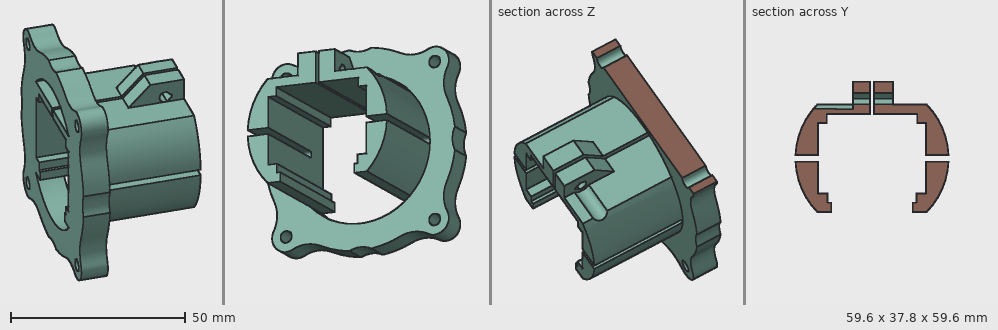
import cadquery as cq
import math

plate_half_width = 29.8
plate_thickness = 8.0
lug_offset = 23.4
lug_radius = 4.45
lug_hole_diameter = 3.5
valley_radius = 10.0
notch_radius = 8.0
notch_half_width = 3.45
disc_radius = math.hypot(plate_half_width, notch_half_width)

tube_radius = 22.0
tube_length = 29.75
tube_half_height = 15.45
total_length = plate_thickness + tube_length

cavity_half_width = 15.45
cavity_wide_half_height = 10.1
cavity_step_height = 12.7
cavity_top_half_width = 12.95
cavity_shelf_half_width = 12.7
cavity_bottom_half_width = 11.7

top_slit_width = 1.0
side_slot_width = 1.85

ear_left = -5.5
ear_right = 6.1
ear_top = tube_radius
ear_top_length = 10.2
clamp_hole_height = 17.1
clamp_hole_from_end = 5.85
clamp_hole_diameter = 3.2
head_groove_radius = 2.9

clamp_hole_y = total_length - clamp_hole_from_end


def front_plane():
    """Work plane at y = 0 facing -Y, so extruding by a negative length runs toward +Y."""
    return cq.Workplane("XZ")


def polar(radius, angle, centre=(0.0, 0.0)):
    return (centre[0] + radius * math.cos(angle), centre[1] + radius * math.sin(angle))


def rotate(point, angle):
    x, z = point
    return (x * math.cos(angle) - z * math.sin(angle), x * math.sin(angle) + z * math.cos(angle))


def quarter_arcs():
    """(middle, end) points of the arcs from the top notch to the notch on the left."""
    lug_distance = lug_offset * math.sqrt(2)
    to_disc = disc_radius + valley_radius
    to_lug = lug_radius + valley_radius
    diagonal = math.radians(135)
    spread = math.acos((to_disc**2 + lug_distance**2 - to_lug**2) / (2 * to_disc * lug_distance))
    lug = (-lug_offset, lug_offset)

    valley_angle = diagonal - spread
    valley = polar(to_disc, valley_angle)
    lug_to_valley = math.atan2(valley[1] - lug[1], valley[0] - lug[0])
    notch_angle = math.pi / 2 + math.atan2(notch_half_width, plate_half_width)
    valley_start = polar(disc_radius, valley_angle)
    valley_end = polar(lug_radius, lug_to_valley, lug)
    valley_middle_angle = (valley_angle - math.pi + lug_to_valley - math.pi) / 2
    valley_middle = polar(valley_radius, valley_middle_angle, valley)
    shoulder_middle = polar(disc_radius, (notch_angle + valley_angle) / 2)

    def mirrored(point):
        return (-point[1], -point[0])

    notch_depth = notch_radius - math.sqrt(notch_radius**2 - notch_half_width**2)
    notch_start = (-plate_half_width, notch_half_width)
    notch_middle = (-plate_half_width + notch_depth, 0)
    return [
        (shoulder_middle, valley_start),
        (valley_middle, valley_end),
        (polar(lug_radius, diagonal, lug), mirrored(valley_end)),
        (mirrored(valley_middle), mirrored(valley_start)),
        (mirrored(shoulder_middle), notch_start),
        (notch_middle, (-plate_half_width, -notch_half_width)),
    ]


def flange():
    arcs = quarter_arcs()
    outline = front_plane().moveTo(-notch_half_width, plate_half_width)
    for quarter in range(4):
        turn = quarter * math.pi / 2
        for middle, end in arcs:
            outline = outline.threePointArc(rotate(middle, turn), rotate(end, turn))
    plate = outline.close().extrude(-plate_thickness)
    holes = (
        front_plane()
        .rect(2 * lug_offset, 2 * lug_offset, forConstruction=True)
        .vertices()
        .circle(lug_hole_diameter / 2)
        .extrude(-plate_thickness)
    )
    bore = front_plane().circle(tube_radius).extrude(-plate_thickness)
    return plate.cut(holes).cut(bore)


def tube():
    """Flattened cylinder that runs through the flange bore to the flange face at y = 0."""
    cylinder = front_plane().circle(tube_radius).extrude(-total_length)
    band = front_plane().rect(2 * tube_radius, 2 * tube_half_height).extrude(-total_length)
    return cylinder.intersect(band)


def ears():
    """One block with a 45 degree ramp; the top slit later splits it into two ears."""
    slope_run = ear_top - tube_half_height
    flat_end = total_length - ear_top_length
    return (
        cq.Workplane("YZ", origin=(ear_left, 0, 0))
        .moveTo(total_length, cavity_step_height)
        .lineTo(total_length, ear_top)
        .lineTo(flat_end, ear_top)
        .lineTo(flat_end - slope_run, tube_half_height)
        .lineTo(flat_end - slope_run, cavity_step_height)
        .close()
        .extrude(ear_right - ear_left)
    )


def cavity():
    """Stepped opening for a square body, with two ledges along each bottom corner."""
    right_side = [
        (cavity_top_half_width, cavity_step_height),
        (cavity_top_half_width, cavity_wide_half_height),
        (cavity_half_width, cavity_wide_half_height),
        (cavity_half_width, -cavity_wide_half_height),
        (cavity_shelf_half_width, -cavity_wide_half_height),
        (cavity_shelf_half_width, -cavity_step_height),
        (cavity_bottom_half_width, -cavity_step_height),
        (cavity_bottom_half_width, -tube_half_height),
    ]
    left_side = [(-x, z) for x, z in reversed(right_side)]
    return front_plane().polyline(right_side + left_side).close().extrude(-total_length)


def top_slit():
    return cq.Workplane("XY").rect(top_slit_width, 2 * total_length).extrude(ear_top)


def side_slots():
    """Slot across both side walls, with a round end at the back of the flange."""
    radius = side_slot_width / 2
    round_centre = plate_thickness + radius
    return (
        cq.Workplane("YZ")
        .moveTo(total_length, radius)
        .lineTo(round_centre, radius)
        .threePointArc((plate_thickness, 0), (round_centre, -radius))
        .lineTo(total_length, -radius)
        .close()
        .extrude(tube_radius, both=True)
    )


def clamp_hole():
    """Hole across both ears: round toward the flange, flat sides, 90 degree point at the free end."""
    radius = clamp_hole_diameter / 2
    tip = radius * math.sqrt(2)
    flat_end = tip - radius
    return (
        cq.Workplane("YZ", origin=(ear_left, clamp_hole_y, clamp_hole_height))
        .moveTo(0, radius)
        .threePointArc((-radius, 0), (0, -radius))
        .lineTo(flat_end, -radius)
        .lineTo(tip, 0)
        .lineTo(flat_end, radius)
        .close()
        .extrude(ear_right - ear_left)
    )


def head_groove():
    """Round groove in the top flat that gives a screw head access to the left ear."""
    return (
        cq.Workplane("YZ", origin=(ear_left, clamp_hole_y, clamp_hole_height))
        .circle(head_groove_radius)
        .extrude(-tube_radius)
    )


result = flange().union(tube()).union(ears())
for cutter in (cavity(), top_slit(), side_slots(), clamp_hole(), head_groove()):
    result = result.cut(cutter)